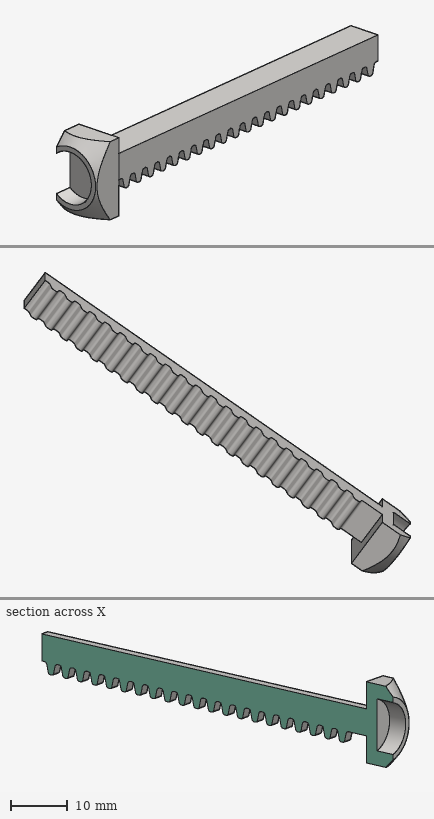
import cadquery as cq
import math

total_length = 79.7

bar_width = 6.35
bar_height = 5.08

head_thickness = 6.1
head_side_overhang = 3.0
head_end_overhang = 5.0
head_width = bar_width + head_side_overhang
head_height = bar_height + 2 * head_end_overhang

axis_x = bar_width / 2
bevel_rim_radius = 6.0
bevel_angle = 45.0
pocket_radius = 5.0
pocket_depth = 3.65

tooth_count = 21
tooth_pitch = 3.3
tooth_depth = 2.2
flank_angle = 13.0
tip_radius = 0.6
root_radius = 0.5
first_tooth_inset = 2.05


def make_bar():
    """Plain bar from the back of the head to the free end."""
    bar_length = total_length - head_thickness
    start = cq.Workplane("XY", origin=(0, head_thickness, 0))
    return start.box(bar_width, bar_length, bar_height, centered=(False, False, True))


def make_bevel_cone():
    """Cone that widens from the rim circle on the front face and covers the whole head."""
    reach = math.hypot(head_width, head_height)
    base_radius = bevel_rim_radius + reach * math.tan(math.radians(bevel_angle))
    cone = cq.Solid.makeCone(
        bevel_rim_radius, base_radius, reach, pnt=cq.Vector(axis_x, 0, 0), dir=cq.Vector(0, 1, 0)
    )
    return cq.Workplane(cone)


def make_head():
    """Block whose front corners are bevelled by the cone."""
    block = cq.Workplane("XY").box(head_width, head_thickness, head_height, centered=(False, False, True))
    return block.intersect(make_bevel_cone())


def make_pocket():
    """Round pocket sunk into the front face and open through the X = 0 side."""
    pocket = cq.Solid.makeCylinder(
        pocket_radius, pocket_depth, pnt=cq.Vector(axis_x, 0, 0), dir=cq.Vector(0, 1, 0)
    )
    return cq.Workplane(pocket)


def make_tooth(middle_y):
    """Tooth with straight flanks, rounded tip corners and concave root fillets."""
    slope = math.tan(math.radians(flank_angle))
    half_angle = math.radians(90 - flank_angle) / 2
    root_z = -bar_height / 2
    tip_z = root_z - tooth_depth

    half_root = tooth_pitch / 4 + slope * tooth_depth / 2
    half_tip = tooth_pitch / 4 - slope * tooth_depth / 2

    root_setback = root_radius * math.tan(half_angle)
    tip_setback = tip_radius * math.tan(half_angle)
    along_flank = math.cos(math.radians(flank_angle))
    across_flank = math.sin(math.radians(flank_angle))

    root_start = half_root + root_setback
    root_end = (half_root - root_setback * across_flank, root_z - root_setback * along_flank)
    tip_start = (half_tip + tip_setback * across_flank, tip_z + tip_setback * along_flank)
    tip_end = half_tip - tip_setback

    return (
        cq.Workplane("YZ", origin=(0, middle_y, 0))
        .moveTo(-root_start, 0)
        .lineTo(-root_start, root_z)
        .radiusArc((-root_end[0], root_end[1]), root_radius)
        .lineTo(-tip_start[0], tip_start[1])
        .radiusArc((-tip_end, tip_z), -tip_radius)
        .lineTo(tip_end, tip_z)
        .radiusArc(tip_start, -tip_radius)
        .lineTo(*root_end)
        .radiusArc((root_start, root_z), root_radius)
        .lineTo(root_start, 0)
        .close()
        .extrude(bar_width)
    )


rack = make_bar().union(make_head())
for index in range(tooth_count):
    rack = rack.union(make_tooth(total_length - first_tooth_inset - index * tooth_pitch))

result = rack.cut(make_pocket())